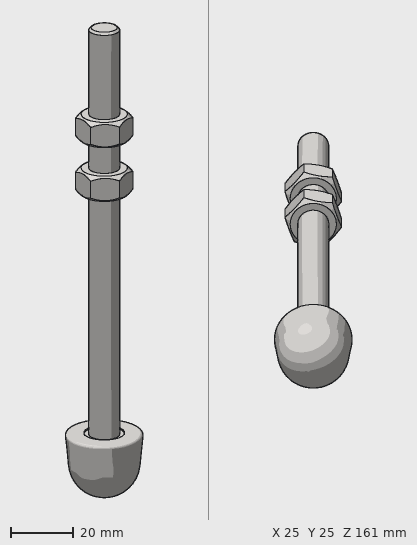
import cadquery as cq
import math

total_height = 161.0

rod_diameter = 10.0
rod_tip_diameter = 8.4
rod_tip_chamfer = (rod_diameter - rod_tip_diameter) / 2

nut_across_flats = 16.1
nut_thickness = 8.7
nut_face_diameter = 14.8
nut_chamfer_height = 1.5
nut_base_heights = (104.0, 122.5)

foot_height = 21.5
foot_diameter = 25.0
foot_rim_fillet = 1.0
dome_height = 10.5
dome_diameter = 23.0
recess_diameter = 13.0
recess_depth = 0.5


def make_foot():
    """Domed foot with tapered sides and a clearance recess around the rod."""
    rim_radius = foot_diameter / 2
    dome_edge_radius = dome_diameter / 2
    rim_height = foot_height - foot_rim_fillet

    sphere_radius = (dome_edge_radius**2 + dome_height**2) / (2 * dome_height)
    half_angle = math.asin(dome_edge_radius / sphere_radius) / 2
    dome_middle = (
        sphere_radius * math.sin(half_angle),
        sphere_radius * (1 - math.cos(half_angle)),
    )

    fillet_middle = (
        rim_radius - foot_rim_fillet * (1 - math.sqrt(0.5)),
        rim_height + foot_rim_fillet * math.sqrt(0.5),
    )
    foot = (
        cq.Workplane("XZ")
        .moveTo(0, 0)
        .threePointArc(dome_middle, (dome_edge_radius, dome_height))
        .lineTo(rim_radius, rim_height)
        .threePointArc(fillet_middle, (rim_radius - foot_rim_fillet, foot_height))
        .lineTo(0, foot_height)
        .close()
        .revolve(360, (0, 0, 0), (0, 1, 0))
    )
    recess = (
        cq.Workplane("XY")
        .workplane(offset=foot_height - recess_depth)
        .circle(recess_diameter / 2)
        .extrude(recess_depth)
    )
    return foot.cut(recess)


def make_rod():
    """Rod rising from the recess floor, chamfered at its upper end."""
    rod_base = foot_height - recess_depth
    return (
        cq.Workplane("XY")
        .workplane(offset=rod_base)
        .circle(rod_diameter / 2)
        .extrude(total_height - rod_base)
        .faces(">Z")
        .chamfer(rod_tip_chamfer)
    )


def make_nut(base_height):
    """Hexagonal nut with corners along X, trimmed by a cone at both ends."""
    across_corners = nut_across_flats / math.cos(math.pi / 6)
    corner_radius = across_corners / 2
    face_radius = nut_face_diameter / 2
    hexagon = cq.Workplane("XY").polygon(6, across_corners).extrude(nut_thickness)
    chamfer_envelope = (
        cq.Workplane("XZ")
        .moveTo(0, 0)
        .lineTo(face_radius, 0)
        .lineTo(corner_radius, nut_chamfer_height)
        .lineTo(corner_radius, nut_thickness - nut_chamfer_height)
        .lineTo(face_radius, nut_thickness)
        .lineTo(0, nut_thickness)
        .close()
        .revolve(360, (0, 0, 0), (0, 1, 0))
    )
    return hexagon.intersect(chamfer_envelope).translate((0, 0, base_height))


result = make_foot().union(make_rod())
for nut_base_height in nut_base_heights:
    result = result.union(make_nut(nut_base_height))